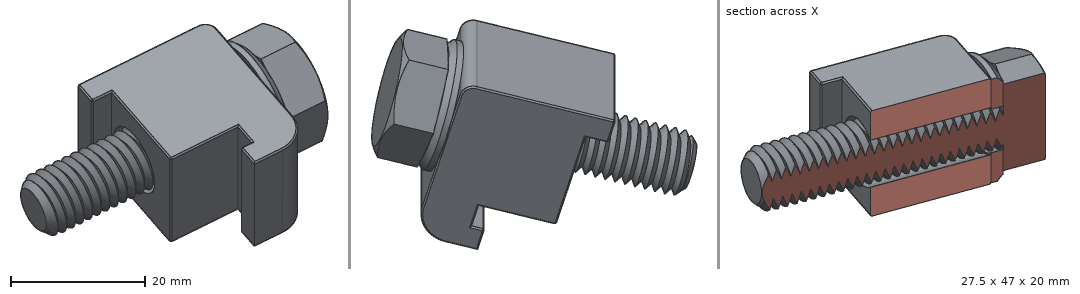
import cadquery as cq
import math


CLAMP_LENGTH = 27.5
CLAMP_HEIGHT = 19.0
BOLT_OFFSET = 10.2
CLAMP_HOLE_DIAMETER = 11.0
BODY_WIDTH = 20.0
BODY_DEPTH = 20.0
LEG_WIDTH = 4.0
LEG_DEPTH = 23.5
HOOK_WIDTH = 3.75
HOOK_DEPTH = 10.0
POCKET_DEPTH = 8.0
LEFT_CORNER_RADIUS = 2.0
RIGHT_CORNER_RADIUS = 5.0
EDGE_CHAMFER = 0.25

WASHER_DIAMETER = 20.0
WASHER_THICKNESS = 2.0
WASHER_CHAMFER = 1.0
WASHER_HOLE_DIAMETER = 10.5

THREAD_DIAMETER = 10.0
BOLT_LENGTH = 40.0
TIP_CHAMFER = 1.5
HEAD_HEIGHT = 7.0
HEAD_SIDES = 6
HEAD_ACROSS_FLATS = 17.0
HEAD_TURN = 4.6
HEAD_BEVEL_ANGLE = 30.0
HEAD_TOP_DIAMETER = 16.6

THREAD_PITCH = 1.54
THREAD_DEPTH = 1.1
THREAD_SPARE_TURNS = 2
THREAD_LEAD = 2.77
ENVELOPE_MARGIN = 0.5

LEFT = -BOLT_OFFSET
RIGHT = LEFT + CLAMP_LENGTH
BODY_RIGHT = LEFT + BODY_WIDTH
HEAD_SEAT = WASHER_THICKNESS
TIP = HEAD_SEAT - BOLT_LENGTH


def along_y(start):
    """Workplane at Y = start whose normal points to +Y."""
    return cq.Workplane(cq.Plane((0, start, 0), xDir=(0, 0, 1), normal=(0, 1, 0)))


def make_clamp():
    """Block with a leg on the left, a hook on the right and a bolt hole."""
    leg_right = LEFT + LEG_WIDTH
    hook_left = RIGHT - HOOK_WIDTH
    body = (
        cq.Workplane("XY", origin=(0, 0, -CLAMP_HEIGHT / 2))
        .moveTo(LEFT, -LEG_DEPTH)
        .lineTo(leg_right, -LEG_DEPTH)
        .lineTo(leg_right, -BODY_DEPTH)
        .lineTo(BODY_RIGHT, -BODY_DEPTH)
        .lineTo(BODY_RIGHT, -POCKET_DEPTH)
        .lineTo(hook_left, -POCKET_DEPTH)
        .lineTo(hook_left, -HOOK_DEPTH)
        .lineTo(RIGHT, -HOOK_DEPTH)
        .lineTo(RIGHT, -RIGHT_CORNER_RADIUS)
        .radiusArc((RIGHT - RIGHT_CORNER_RADIUS, 0), -RIGHT_CORNER_RADIUS)
        .lineTo(LEFT + LEFT_CORNER_RADIUS, 0)
        .radiusArc((LEFT, -LEFT_CORNER_RADIUS), -LEFT_CORNER_RADIUS)
        .close()
        .extrude(CLAMP_HEIGHT)
    )
    eased_corners = [
        (LEFT, -LEG_DEPTH),
        (leg_right, -LEG_DEPTH),
        (BODY_RIGHT, -BODY_DEPTH),
        (hook_left, -HOOK_DEPTH),
    ]
    for x, y in eased_corners:
        body = body.edges(cq.NearestToPointSelector((x, y, 0))).chamfer(EDGE_CHAMFER)
    body = body.faces("<Z or >Z").edges().chamfer(EDGE_CHAMFER)
    hole = along_y(-LEG_DEPTH).circle(CLAMP_HOLE_DIAMETER / 2).extrude(LEG_DEPTH)
    return body.cut(hole)


def make_washer():
    """Flat ring bevelled on the side facing the bolt head."""
    disc = along_y(0).circle(WASHER_DIAMETER / 2).extrude(WASHER_THICKNESS)
    disc = disc.faces(">Y").edges().chamfer(WASHER_CHAMFER)
    hole = along_y(0).circle(WASHER_HOLE_DIAMETER / 2).extrude(WASHER_THICKNESS)
    return disc.cut(hole)


def make_head():
    """Hexagonal head with its outer corners bevelled by a cone."""
    corner_diameter = HEAD_ACROSS_FLATS / math.cos(math.pi / HEAD_SIDES)
    hexagon = along_y(HEAD_SEAT).polygon(HEAD_SIDES, corner_diameter).extrude(HEAD_HEIGHT)
    hexagon = hexagon.rotate((0, 0, 0), (0, 1, 0), HEAD_TURN)
    bevel_width = (corner_diameter - HEAD_TOP_DIAMETER) / 2
    bevel_height = bevel_width * math.tan(math.radians(HEAD_BEVEL_ANGLE))
    envelope = (
        along_y(HEAD_SEAT)
        .circle(corner_diameter / 2)
        .extrude(HEAD_HEIGHT)
        .faces(">Y")
        .edges()
        .chamfer(bevel_height, bevel_width)
    )
    return hexagon.intersect(envelope)


def make_thread():
    """Right-handed sharp V thread about Z, starting at the origin, solid down to its axis.

    Each turn is two helicoid flanks between the root and crest helices. A helicoid and a flat
    step close each end.
    """
    crest_radius = THREAD_DIAMETER / 2
    root_radius = crest_radius - THREAD_DEPTH
    turns = math.ceil(BOLT_LENGTH / THREAD_PITCH) + THREAD_SPARE_TURNS

    def helix(radius, start):
        wire = cq.Wire.makeHelix(THREAD_PITCH, THREAD_PITCH, radius, center=cq.Vector(0, 0, start))
        return wire.Edges()[0]

    faces = []
    for turn in range(turns):
        start = turn * THREAD_PITCH
        lower_root = helix(root_radius, start)
        crest = helix(crest_radius, start + THREAD_PITCH / 2)
        upper_root = helix(root_radius, start + THREAD_PITCH)
        faces.append(cq.Face.makeRuledSurface(lower_root, crest))
        faces.append(cq.Face.makeRuledSurface(crest, upper_root))

    for start in (0, turns * THREAD_PITCH):
        end = start + THREAD_PITCH
        axis = cq.Edge.makeLine(cq.Vector(0, 0, start), cq.Vector(0, 0, end))
        faces.append(cq.Face.makeRuledSurface(axis, helix(root_radius, start)))
        step = [
            cq.Vector(0, 0, start),
            cq.Vector(root_radius, 0, start),
            cq.Vector(crest_radius, 0, start + THREAD_PITCH / 2),
            cq.Vector(root_radius, 0, end),
            cq.Vector(0, 0, end),
        ]
        faces.append(cq.Face.makeFromWires(cq.Wire.makePolygon(step, close=True)))

    thread = cq.Solid.makeSolid(cq.Shell.makeShell(faces))
    return cq.Workplane(obj=thread)


def make_bolt():
    """Threaded shank with a chamfered tip, joined to its head."""
    envelope = (
        along_y(TIP)
        .circle(THREAD_DIAMETER / 2 + ENVELOPE_MARGIN)
        .extrude(BOLT_LENGTH + HEAD_HEIGHT / 2)
        .faces("<Y")
        .edges()
        .chamfer(TIP_CHAMFER + ENVELOPE_MARGIN)
    )
    thread = (
        make_thread()
        .rotate((0, 0, 0), (1, 0, 0), -90)
        .translate((0, TIP - THREAD_LEAD, 0))
    )
    return thread.intersect(envelope).union(make_head())


clamp = make_clamp()
washer = make_washer()
bolt = make_bolt()

result = cq.Compound.makeCompound([clamp.solids().val(), washer.solids().val(), bolt.solids().val()])